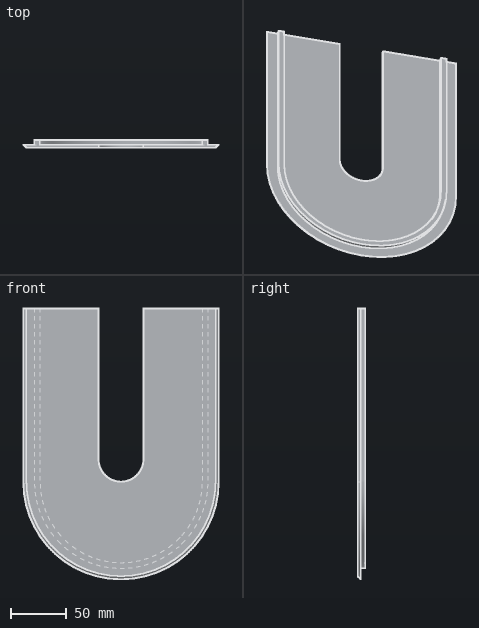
import cadquery as cq

height = 242.5
width = 175.0
thickness = 7.0
outer_radius = width / 2

plate_thickness = 3.0
rib_height = thickness - plate_thickness
bevel = plate_thickness

rib_inset = 10.0
rib_width = 5.0

slot_width = 40.0
slot_radius = slot_width / 2
slot_center_z = outer_radius + slot_radius


def u_prism(radius, center_z, back_y, depth, taper=0):
    """Round-bottomed prism, running from back_y towards -Y.

    The outline extends past the plate top so a taper leaves the trimmed top square.
    """
    top_z = height + 2 * bevel
    return (
        cq.Workplane("XZ", origin=(0, back_y, 0))
        .moveTo(-radius, top_z)
        .lineTo(-radius, center_z)
        .threePointArc((0, center_z - radius), (radius, center_z))
        .lineTo(radius, top_z)
        .close()
        .extrude(depth, taper=taper)
    )


plate = u_prism(outer_radius, outer_radius, plate_thickness, plate_thickness, taper=45)
slot = u_prism(slot_radius, slot_center_z, plate_thickness, plate_thickness)

rib_outer_radius = outer_radius - rib_inset
rib_inner_radius = rib_outer_radius - rib_width
rib = u_prism(rib_outer_radius, outer_radius, thickness, rib_height).cut(
    u_prism(rib_inner_radius, outer_radius, thickness, rib_height)
)

envelope = cq.Workplane("XY").box(width, thickness, height, centered=(True, False, False))
result = plate.cut(slot).union(rib).intersect(envelope)